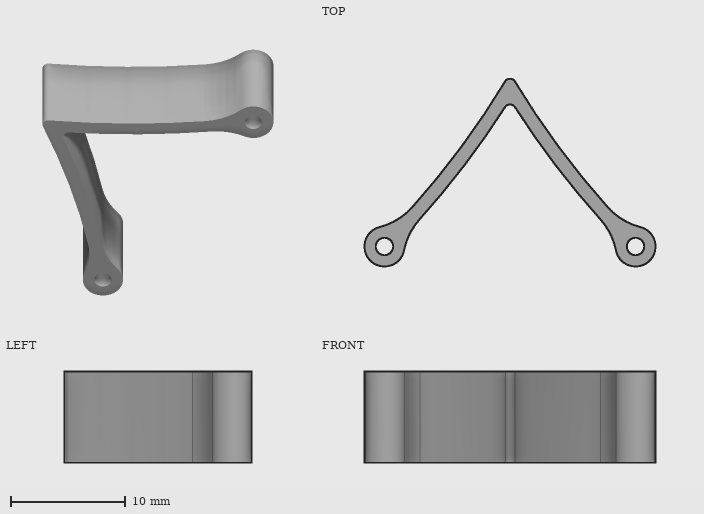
import cadquery as cq
import math

width = 25.5
height = 8.0

eye_radius = 1.75
hole_diameter = 1.5
eye_x = width / 2 - eye_radius
eye_center = (-eye_x, 0.0)

bow_center = (-64.13, 52.96)
outer_bow_radius = 74.43
wall = 1.2
inner_bow_radius = outer_bow_radius + wall

tip_radius = 0.5
outer_blend_radius = 5.75
inner_blend_radius = 5.75


def toward(start, target, distance):
    """Point at a distance from start, on the line to target."""
    ratio = distance / math.dist(start, target)
    return (
        start[0] + (target[0] - start[0]) * ratio,
        start[1] + (target[1] - start[1]) * ratio,
    )


def circle_crossing(center_a, radius_a, center_b, radius_b):
    """Crossing of two circles on the left of the line from a to b."""
    span = math.dist(center_a, center_b)
    along = (span**2 + radius_a**2 - radius_b**2) / (2 * span)
    across = math.sqrt(radius_a**2 - along**2)
    ux = (center_b[0] - center_a[0]) / span
    uy = (center_b[1] - center_a[1]) / span
    return (
        center_a[0] + along * ux - across * uy,
        center_a[1] + along * uy + across * ux,
    )


def arc_middle(center, radius, start, end):
    """Middle of the shorter arc from start to end; a negative radius gives the longer arc."""
    chord_middle = ((start[0] + end[0]) / 2, (start[1] + end[1]) / 2)
    return toward(center, chord_middle, radius)


def tip_center(bow_radius):
    """Center, on the symmetry line, of a tip rounding tangent to both arms."""
    drop = math.sqrt((bow_radius + tip_radius) ** 2 - bow_center[0] ** 2)
    return (0.0, bow_center[1] - drop)


def half_profile():
    """Outline of the left arm and its eye, closed along the symmetry line."""
    outer_tip = tip_center(outer_bow_radius)
    inner_tip = tip_center(inner_bow_radius)
    outer_blend = circle_crossing(
        bow_center, outer_bow_radius - outer_blend_radius,
        eye_center, eye_radius + outer_blend_radius,
    )
    inner_blend = circle_crossing(
        bow_center, inner_bow_radius + inner_blend_radius,
        eye_center, eye_radius + inner_blend_radius,
    )

    outer_top = toward(bow_center, outer_tip, outer_bow_radius)
    outer_bottom = toward(bow_center, outer_blend, outer_bow_radius)
    eye_outer = toward(eye_center, outer_blend, eye_radius)
    eye_inner = toward(eye_center, inner_blend, eye_radius)
    inner_bottom = toward(bow_center, inner_blend, inner_bow_radius)
    inner_top = toward(bow_center, inner_tip, inner_bow_radius)

    outer_peak = (0.0, outer_tip[1] + tip_radius)
    inner_peak = (0.0, inner_tip[1] + tip_radius)
    eye_middle = arc_middle(eye_center, -eye_radius, eye_outer, eye_inner)

    return (
        cq.Workplane("XY")
        .moveTo(*outer_peak)
        .threePointArc(arc_middle(outer_tip, tip_radius, outer_peak, outer_top), outer_top)
        .threePointArc(
            arc_middle(bow_center, outer_bow_radius, outer_top, outer_bottom), outer_bottom
        )
        .threePointArc(
            arc_middle(outer_blend, outer_blend_radius, outer_bottom, eye_outer), eye_outer
        )
        .threePointArc(eye_middle, eye_inner)
        .threePointArc(
            arc_middle(inner_blend, inner_blend_radius, eye_inner, inner_bottom), inner_bottom
        )
        .threePointArc(
            arc_middle(bow_center, inner_bow_radius, inner_bottom, inner_top), inner_top
        )
        .threePointArc(arc_middle(inner_tip, tip_radius, inner_top, inner_peak), inner_peak)
        .close()
    )


left_half = half_profile().extrude(height)
body = left_half.union(left_half.mirror("YZ")).clean()

holes = (
    cq.Workplane("XY")
    .pushPoints([(-eye_x, 0.0), (eye_x, 0.0)])
    .circle(hole_diameter / 2)
    .extrude(height)
)

result = body.cut(holes)